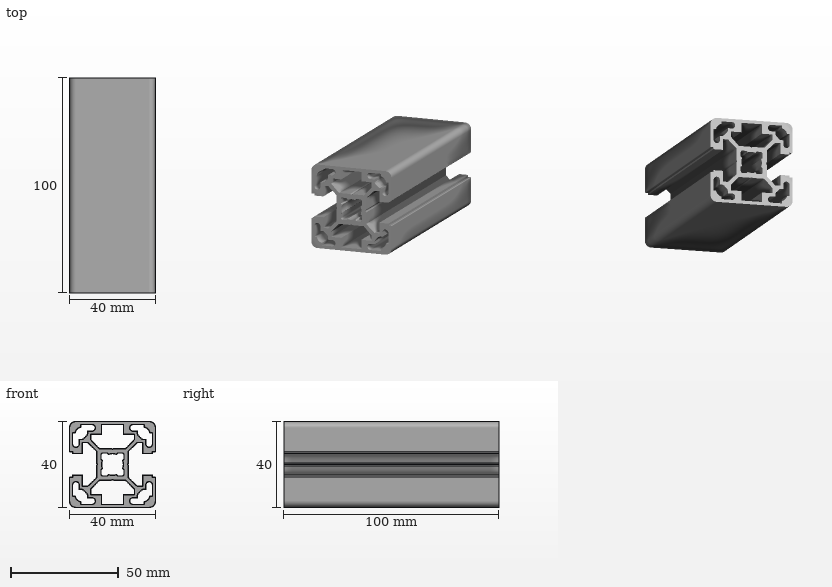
import cadquery as cq
import math

side = 40.0
length = 100.0
half_side = side / 2
corner_radius = 3.0

skin = 1.5
skin_inner = half_side - skin
slot_half_width = 5.0
lip_thickness = 6.0
lip_inner = half_side - lip_thickness
pocket_half_width = 10.1
core_half_side = 7.4
web_core_offset = 1.2
web_pocket_offset = 1.4
lip_step_half_width = 5.9
lip_edge_radius = 0.3
groove_depth = 0.3
groove_half_width = 0.7

arm_width = 3.0
arm_end = 8.0
arm_inner = skin_inner - arm_width
outer_arc_center = 14.0
outer_arc_radius = 3.4
outer_step = 14.7
inner_step = 11.6
shoulder_start = 14.2
bevel_far = 13.5
bevel_near = 11.9

bore_half_side = 5.3
bore_fillet = 0.8
pad_base_half_width = 2.4
pad_tip_half_width = 1.9
screw_bore_radius = 5.0


def prism(outline):
    """Extrude a closed XZ outline over the whole length, centred on Y = 0."""
    return outline.extrude(length / 2, both=True)


def turned(shape, angle):
    """Turn a shape about the extrusion axis."""
    return shape.rotate((0, 0, 0), (0, 1, 0), angle)


def slot_pocket(mouth):
    """T-shaped pocket facing +Z whose neck reaches up to the height mouth."""
    right_side = [
        (groove_half_width, core_half_side),
        (core_half_side - web_core_offset, core_half_side),
        (pocket_half_width, pocket_half_width + web_pocket_offset),
        (pocket_half_width, lip_inner),
        (slot_half_width, lip_inner),
        (slot_half_width, mouth),
    ]
    left_side = [(-x, z) for x, z in reversed(right_side)]
    groove_bottom = (0, core_half_side - groove_depth)
    return prism(cq.Workplane("XZ").polyline([groove_bottom] + right_side + left_side).close())


def mouth_step():
    """Shallow widening of an open slot at its outer face, facing +Z, with rounded rims."""
    rim = lip_step_half_width + lip_edge_radius
    rim_start = half_side - lip_edge_radius
    return prism(
        cq.Workplane("XZ")
        .moveTo(-lip_step_half_width, skin_inner)
        .lineTo(lip_step_half_width, skin_inner)
        .lineTo(lip_step_half_width, rim_start)
        .radiusArc((rim, half_side), lip_edge_radius)
        .lineTo(-rim, half_side)
        .radiusArc((-lip_step_half_width, rim_start), lip_edge_radius)
        .close()
    )


def corner_chamber():
    """Hollow of the +X +Z corner, symmetric about the profile diagonal."""
    arm_radius = arm_width / 2
    arm_arc_start = arm_end + arm_radius
    arm_middle = skin_inner - arm_radius
    outer_arc_end = outer_arc_center + math.sqrt(outer_arc_radius**2 - (outer_step - outer_arc_center) ** 2)
    outer_arc_middle = outer_arc_center + outer_arc_radius / math.sqrt(2)
    return prism(
        cq.Workplane("XZ")
        .moveTo(arm_arc_start, skin_inner)
        .lineTo(outer_step, skin_inner)
        .lineTo(outer_step, outer_arc_end)
        .threePointArc((outer_arc_middle, outer_arc_middle), (outer_arc_end, outer_step))
        .lineTo(skin_inner, outer_step)
        .lineTo(skin_inner, arm_arc_start)
        .threePointArc((arm_middle, arm_end), (arm_inner, arm_arc_start))
        .lineTo(arm_inner, inner_step)
        .lineTo(shoulder_start, inner_step)
        .lineTo(bevel_far, bevel_near)
        .lineTo(bevel_near, bevel_far)
        .lineTo(inner_step, shoulder_start)
        .lineTo(inner_step, arm_inner)
        .lineTo(arm_arc_start, arm_inner)
        .threePointArc((arm_end, arm_middle), (arm_arc_start, skin_inner))
        .close()
    )


def wall_pad():
    """Pad left standing on the +Z wall of the central bore, its top on the screw bore circle."""
    tip_height = math.sqrt(screw_bore_radius**2 - pad_tip_half_width**2)
    return prism(
        cq.Workplane("XZ")
        .moveTo(-pad_base_half_width, bore_half_side)
        .lineTo(-pad_tip_half_width, tip_height)
        .threePointArc((0, screw_bore_radius), (pad_tip_half_width, tip_height))
        .lineTo(pad_base_half_width, bore_half_side)
        .close()
    )


def central_bore():
    bore_side = 2 * bore_half_side
    bore = prism(cq.Workplane("XZ").rect(bore_side, bore_side)).edges("|Y").fillet(bore_fillet)
    for angle in (0, 90, 180, 270):
        bore = bore.cut(turned(wall_pad(), angle))
    return bore


result = prism(cq.Workplane("XZ").rect(side, side)).edges("|Y").fillet(corner_radius)

for closed_angle in (0, 180):
    result = result.cut(turned(slot_pocket(skin_inner), closed_angle))

for open_angle in (90, 270):
    result = result.cut(turned(slot_pocket(half_side), open_angle))
    result = result.cut(turned(mouth_step(), open_angle))

for corner_angle in (0, 90, 180, 270):
    result = result.cut(turned(corner_chamber(), corner_angle))

result = result.cut(central_bore())